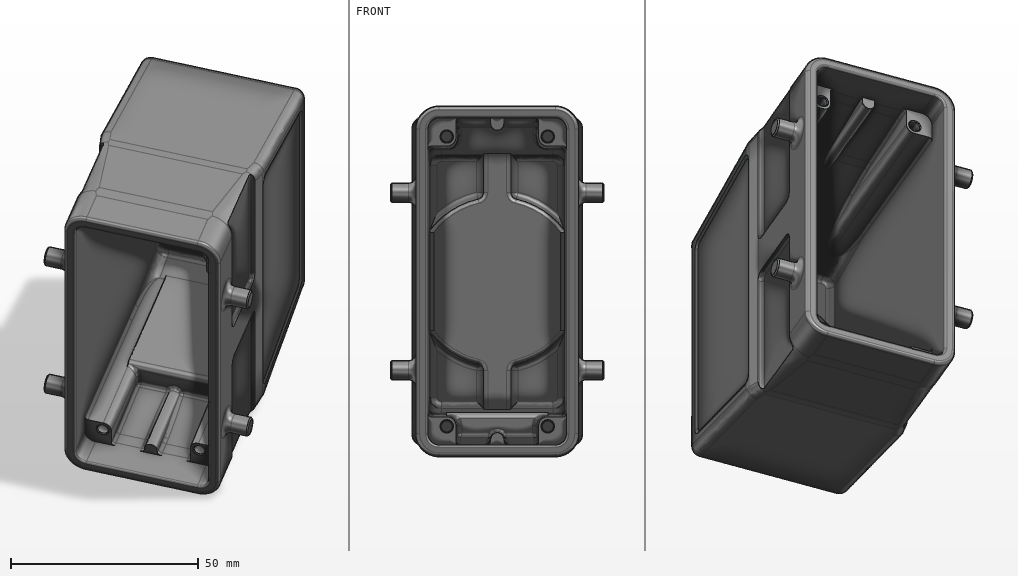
import cadquery as cq
import math


DEPTH = 76.0
FRONT_HALF_X = 21.7
BACK_HALF_X = 22.8
HALF_Z = 46.85
WAIST_HALF_Z = 44.6
BACK_HALF_Z = 36.3
RIM_END_Y = 11.2
WAIST_Y = 32.3
FLARE_END_Y = 37.1
RIM_CORNER_R = 6.2
REAR_CORNER_R = 2.8
BACK_EDGE_R = 2.5
RIM_EDGE_R = 1.0
SLOPE_BLEND_R = 31.9
FLARE_BLEND_R = 7.5
OVERRUN = 9.4
NEAR = 0.4

WALL = 3.2
CAVITY_CORNER_R = 3.0
CAVITY_BACK_HALF_X = 17.9
LIP_R = 0.6
BACK_WALL = 2.6
PLATEAU_HEIGHT = 3.5
PLATEAU_R = 22.6
NECK_HALF_X = 3.7
NECK_CORNER_R = 1.9
PLATEAU_EDGE_R = 1.1
SIDE_STRIP_R = 1.0
SIDE_STRIP_HALF_Z = 13.1
PAD_FLOOR_R = 1.9

POST_Y = 8.4
POST_INNER_X = 11.1
POST_INNER_Z = 36.2
POST_CORNER_R = 2.25
POST_DRAFT = 1.0
POST_ROOT_R = 0.9
SCREW_X = 13.5
SCREW_Z = 38.7
SCREW_R = 1.5
SCREW_CHAMFER = 0.3
SCREW_DEPTH = 14.1

RIB_R = 1.8
RIB_CENTRE_Z = 42.2
STEP_Y = 30.9
STEP_TOP_Z = 34.95
STEP_TOP_R = 1.7
STEP_ROOT_R = 1.2
RIB_ROOT_R = 1.1

PIN_TIP_X = 28.5
PIN_R = 2.58
PIN_Y = 6.3
PIN_Z = 23.7
PIN_CHAMFER = 0.4
PIN_ROOT_R = 2.0

POCKET_DEPTH = 1.4
POCKET_FRONT_Y = 11.6
POCKET_INNER_Z = 5.5
POCKET_CORNER_R = 2.25
POCKET_FLOOR_R = 0.9

LABEL_DEPTH = 0.5
LABEL_FRONT_Y = 36.45
LABEL_BACK_Y = 71.8
LABEL_MARGIN_Z = 4.6
LABEL_CORNER_R = 2.5
LABEL_BORDER = 1.0

REAR_SLOPE = (WAIST_HALF_Z - BACK_HALF_Z) / (DEPTH - WAIST_Y)
FRONT_SLOPE = (HALF_Z - WAIST_HALF_Z) / (WAIST_Y - RIM_END_Y)
PAD_Y = DEPTH - BACK_WALL
PLATEAU_Y = PAD_Y - PLATEAU_HEIGHT


def rear_half_z(y):
    """Half height of the shell behind the waist."""
    return WAIST_HALF_Z - REAR_SLOPE * (y - WAIST_Y)


def ruled_loft(sections):
    """Ruled solid through (y, half_x, half_z, corner radius) rounded rectangles."""
    wires = []
    for y, half_x, half_z, radius in sections:
        block = cq.Workplane("XZ", origin=(0, y, 0)).rect(2 * half_x, 2 * half_z).extrude(0.9)
        wires.append(block.edges("|Y").fillet(radius).faces(">Y").wires().val())
    return cq.Workplane(cq.Solid.makeLoft(wires, True))


def in_box(half_x, y_from, y_to, z_from, z_to):
    """Selector for a box centred on X = 0."""
    return cq.selectors.BoxSelector((-half_x, y_from, z_from), (half_x, y_to, z_to))


def end_wall_blend(inset):
    """Prism whose end walls follow the shell, moved in by inset, with blended bends."""
    end_y = DEPTH + OVERRUN
    profile = cq.Workplane("YZ").moveTo(-OVERRUN, HALF_Z - inset)
    for corner_y, corner_z, slope_in, slope_out in (
        (RIM_END_Y, HALF_Z - inset, 0, FRONT_SLOPE),
        (WAIST_Y, WAIST_HALF_Z - inset, FRONT_SLOPE, REAR_SLOPE),
    ):
        angle_in = math.atan(slope_in)
        angle_out = math.atan(slope_out)
        angle_mid = (angle_in + angle_out) / 2
        tangent = SLOPE_BLEND_R * math.tan((angle_out - angle_in) / 2)
        start_y = corner_y - tangent * math.cos(angle_in)
        start_z = corner_z + tangent * math.sin(angle_in)
        centre_y = start_y - SLOPE_BLEND_R * math.sin(angle_in)
        centre_z = start_z - SLOPE_BLEND_R * math.cos(angle_in)
        mid = (
            centre_y + SLOPE_BLEND_R * math.sin(angle_mid),
            centre_z + SLOPE_BLEND_R * math.cos(angle_mid),
        )
        end = (corner_y + tangent * math.cos(angle_out), corner_z - tangent * math.sin(angle_out))
        profile = profile.lineTo(start_y, start_z).threePointArc(mid, end)
    profile = profile.lineTo(end_y, rear_half_z(end_y) - inset).lineTo(end_y, 0)
    upper = profile.lineTo(-OVERRUN, 0).close().extrude(HALF_Z, both=True)
    return upper.union(upper.mirror("XY"))


def side_wall_blend():
    """Prism whose sides follow the shell, blended where the flare ends."""
    end_y = DEPTH + OVERRUN
    right = [
        (FRONT_HALF_X, -OVERRUN),
        (FRONT_HALF_X, WAIST_Y),
        (BACK_HALF_X, FLARE_END_Y),
        (BACK_HALF_X, end_y),
    ]
    left = [(-x, y) for x, y in reversed(right)]
    prism = cq.Workplane("XY").polyline(right + left).close().extrude(HALF_Z + 0.9, both=True)
    bends = in_box(HALF_Z, FLARE_END_Y - NEAR, FLARE_END_Y + NEAR, -HALF_Z, HALF_Z)
    return prism.edges("|Z").edges(bends).fillet(FLARE_BLEND_R)


def outer_shell():
    """Solid outside form of the hood with rounded back and rim edges."""
    shell = ruled_loft([
        (0, FRONT_HALF_X, HALF_Z, RIM_CORNER_R),
        (RIM_END_Y, FRONT_HALF_X, HALF_Z, RIM_CORNER_R),
        (WAIST_Y, FRONT_HALF_X, WAIST_HALF_Z, REAR_CORNER_R),
        (FLARE_END_Y, BACK_HALF_X, rear_half_z(FLARE_END_Y), REAR_CORNER_R),
        (DEPTH, BACK_HALF_X, BACK_HALF_Z, REAR_CORNER_R),
    ])
    shell = shell.intersect(end_wall_blend(0)).intersect(side_wall_blend())
    shell = shell.faces(">Y").edges().fillet(BACK_EDGE_R)
    return shell.faces("<Y").edges().fillet(RIM_EDGE_R)


def cavity_half_x(y):
    """Half width of the drafted cavity."""
    front = FRONT_HALF_X - WALL
    return front + (CAVITY_BACK_HALF_X - front) * y / PAD_Y


def plateau():
    """Raised part of the cavity floor: a disc with a bar to each end wall."""
    height = PLATEAU_HEIGHT + OVERRUN
    face = cq.Workplane("XZ", origin=(0, PLATEAU_Y, 0))
    disc = face.circle(PLATEAU_R).extrude(-height)
    bar = face.rect(2 * NECK_HALF_X, 2 * HALF_Z).extrude(-height)
    raised = disc.union(bar)
    inner_corners = in_box(NECK_HALF_X + 0.9, 0, 2 * DEPTH, -PLATEAU_R - 0.9, PLATEAU_R + 0.9)
    raised = raised.edges("|Y").edges(inner_corners).fillet(NECK_CORNER_R)
    return raised.faces("<Y").edges().fillet(PLATEAU_EDGE_R)


def plateau_side_fillets():
    """Concave strips where the plateau meets the cavity sides."""
    wall_x = cavity_half_x(PLATEAU_Y)
    strip = (
        cq.Workplane("XY")
        .moveTo(wall_x - SIDE_STRIP_R, PLATEAU_Y)
        .radiusArc((wall_x, PLATEAU_Y - SIDE_STRIP_R), -SIDE_STRIP_R)
        .lineTo(wall_x + 0.9, PLATEAU_Y - SIDE_STRIP_R)
        .lineTo(wall_x + 0.9, PLATEAU_Y + 0.9)
        .lineTo(wall_x - SIDE_STRIP_R, PLATEAU_Y + 0.9)
        .close()
        .extrude(SIDE_STRIP_HALF_Z, both=True)
    )
    return strip.union(strip.mirror("YZ"))


def cavity():
    """Hollow of the hood before posts, ribs and step are taken out of it."""
    half_heights = [
        (0, HALF_Z),
        (RIM_END_Y, HALF_Z),
        (WAIST_Y, WAIST_HALF_Z),
        (PAD_Y, rear_half_z(PAD_Y)),
    ]
    hollow = ruled_loft([
        (y, cavity_half_x(y), half_z - WALL, CAVITY_CORNER_R) for y, half_z in half_heights
    ])
    hollow = hollow.intersect(end_wall_blend(WALL)).cut(plateau())
    hollow = hollow.faces(">Y").edges().fillet(PAD_FLOOR_R)
    return hollow.cut(plateau_side_fillets())


def posts():
    """Four drafted screw posts in the cavity corners."""
    half_x = FRONT_HALF_X - POST_INNER_X
    half_z = HALF_Z - POST_INNER_Z
    outline = cq.Sketch().rect(2 * half_x, 2 * half_z).vertices().fillet(POST_CORNER_R)
    corners = [(x, z) for x in (FRONT_HALF_X, -FRONT_HALF_X) for z in (HALF_Z, -HALF_Z)]
    blocks = cq.Workplane("XZ", origin=(0, POST_Y, 0)).pushPoints(corners).placeSketch(outline)
    return blocks.extrude(POST_Y - PAD_Y - 0.9, taper=-POST_DRAFT)


def screw_holes():
    """Blind bores in the posts with a small lead-in."""
    face = cq.Workplane("XZ", origin=(0, POST_Y, 0))
    centres = face.rect(2 * SCREW_X, 2 * SCREW_Z, forConstruction=True).vertices()
    bores = centres.circle(SCREW_R).extrude(-SCREW_DEPTH)
    lead_ins = centres.circle(SCREW_R + SCREW_CHAMFER).extrude(-SCREW_CHAMFER, taper=45)
    return bores.union(lead_ins)


def ribs():
    """Round-nosed locating rib along the middle of each end wall."""
    all_ribs = cq.Workplane()
    length = WAIST_Y + OVERRUN - POST_Y
    for side in (1, -1):
        start = cq.Workplane("XZ", origin=(0, POST_Y, side * RIB_CENTRE_Z))
        nose = start.circle(RIB_R).extrude(-length)
        root = start.center(0, side * OVERRUN / 2).rect(2 * RIB_R, OVERRUN).extrude(-length)
        all_ribs = all_ribs.add(nose.union(root))
    return all_ribs.combine()


def step():
    """Filling between the lower posts, with a rounded top front edge."""
    block = cq.Workplane("XY").box(
        2 * SCREW_X, PAD_Y - STEP_Y + 0.9, HALF_Z - STEP_TOP_Z, centered=(True, False, False))
    block = block.translate((0, STEP_Y, -HALF_Z))
    return block.edges("|X and >Z and <Y").fillet(STEP_TOP_R)


def post_root_edges(hollow):
    """Long edges beside the inner post faces, at the end walls and the post corners."""
    edges = [
        edge for edge in hollow.edges().vals()
        if POST_INNER_X - 1.2 < abs(edge.Center().x) < POST_INNER_X + 0.4
        and abs(edge.Center().z) > POST_INNER_Z + 0.9
        and edge.BoundingBox().ylen > 1.9
    ]
    return hollow.newObject(edges)


def step_root_edges(hollow):
    """Edges where the step face meets the posts and the end wall."""
    step_face = in_box(SCREW_X, STEP_Y - NEAR, STEP_Y + NEAR, -HALF_Z, -33.7)
    edges = [edge for edge in hollow.edges(step_face).vals() if edge.BoundingBox().ylen < 0.9]
    return hollow.newObject(edges)


def furnished_cavity():
    """Cavity with posts, step and ribs left standing in it."""
    hollow = cavity().cut(posts())
    hollow = post_root_edges(hollow).fillet(POST_ROOT_R)
    hollow = hollow.cut(step())
    hollow = step_root_edges(hollow).fillet(STEP_ROOT_R)
    hollow = hollow.cut(ribs())
    rib_nose_z = -RIB_CENTRE_Z + RIB_R
    rib_nose = in_box(0.9, STEP_Y - NEAR, STEP_Y + NEAR, rib_nose_z - 0.9, rib_nose_z + 0.9)
    return hollow.edges(rib_nose).fillet(RIB_ROOT_R)


def pins():
    """Four locking pins with a flared root, made by turning one half profile."""
    flare_x = FRONT_HALF_X + PIN_ROOT_R
    flare_r = PIN_R + PIN_ROOT_R
    arc_mid = PIN_ROOT_R * math.sqrt(0.5)
    profile = (
        cq.Workplane("XY")
        .moveTo(FRONT_HALF_X - 0.9, 0)
        .lineTo(FRONT_HALF_X - 0.9, flare_r)
        .lineTo(FRONT_HALF_X, flare_r)
        .threePointArc((flare_x - arc_mid, flare_r - arc_mid), (flare_x, PIN_R))
        .lineTo(PIN_TIP_X - PIN_CHAMFER, PIN_R)
        .lineTo(PIN_TIP_X, PIN_R - PIN_CHAMFER)
        .lineTo(PIN_TIP_X, 0)
        .close()
    )
    pin = profile.revolve(360, (0, 0, 0), (1, 0, 0))
    all_pins = cq.Workplane()
    for sided_pin in (pin, pin.mirror("YZ")):
        for z in (PIN_Z, -PIN_Z):
            all_pins = all_pins.add(sided_pin.translate((0, PIN_Y, z)))
    return all_pins.combine()


def side_pockets():
    """Two pockets per side, running out over the rounded shell corners."""
    pocket = cq.Workplane("XY").box(
        OVERRUN, WAIST_Y - POCKET_FRONT_Y, HALF_Z, centered=False)
    pocket = pocket.edges("|X and <Z").fillet(POCKET_CORNER_R)
    pocket = pocket.faces("<X").edges("not >Z").fillet(POCKET_FLOOR_R)
    pocket = pocket.translate((FRONT_HALF_X - POCKET_DEPTH, POCKET_FRONT_Y, POCKET_INNER_Z))
    pair = pocket.union(pocket.mirror("XY"))
    return pair.union(pair.mirror("YZ"))


def label_outline(x, inset):
    """Trapezoid parallel to the side outline, moved in by inset, in the plane at x."""
    edge_inset = LABEL_MARGIN_Z + inset
    front_y = LABEL_FRONT_Y + inset
    back_y = LABEL_BACK_Y - inset
    front_z = rear_half_z(front_y) - edge_inset
    back_z = rear_half_z(back_y) - edge_inset
    corners = [(front_y, -front_z), (front_y, front_z), (back_y, back_z), (back_y, -back_z)]
    block = cq.Workplane("YZ", origin=(x, 0, 0)).polyline(corners).close().extrude(0.9)
    return block.edges("|X").fillet(LABEL_CORNER_R - inset).faces("<X").wires().val()


def label_recesses():
    """Shallow recess with a sloping border on each side."""
    floor = label_outline(BACK_HALF_X - LABEL_DEPTH, LABEL_BORDER)
    mouth = label_outline(BACK_HALF_X, 0)
    recess = cq.Workplane(cq.Solid.makeLoft([floor, mouth], True))
    return recess.union(recess.mirror("YZ"))


hood = outer_shell().union(pins()).cut(side_pockets()).cut(label_recesses())
hood = hood.cut(furnished_cavity())

mouth_edges = in_box(FRONT_HALF_X - WALL / 2, -NEAR, NEAR, -HALF_Z + WALL / 2, HALF_Z - WALL / 2)
hood = hood.edges(mouth_edges).fillet(LIP_R)

result = hood.cut(screw_holes())